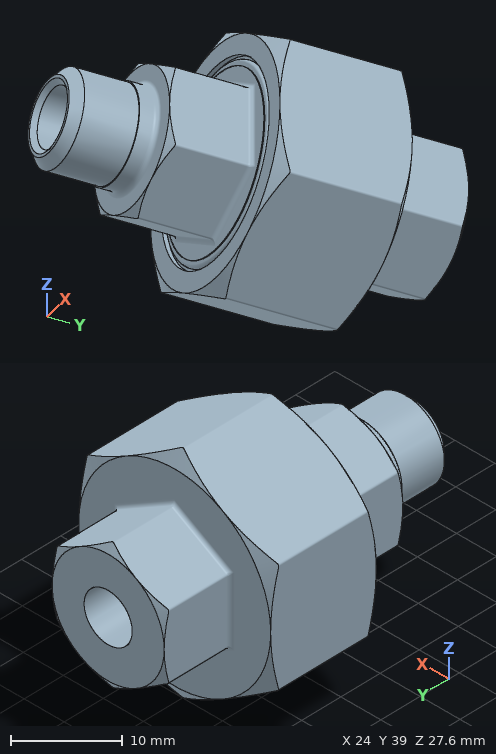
import cadquery as cq
import math

total_length = 39.0
section_length = 8.5
nut_front = 2 * section_length
nut_back = total_length - section_length

nut_flats = 24.0
body_flats = 14.0
hex_edge_radius = 0.3
hex_chamfer_angle = math.radians(30)
envelope_ratio = 1.5
root_fillet = 0.5

recess_diameter = 20.0
collar_diameter = 19.4
collar_edge_radius = 0.3
boss_diameter = 18.0
boss_height = 0.1
gap_depth = 0.5

pick_margin = 0.05

shoulder_diameter = 9.95
spigot_diameter = 9.7
shoulder_start = 6.55
tip_chamfer = 1.0
bore_diameter = 6.0
bore_chamfer = 0.5


def cylinder(diameter, start, end):
    """Cylinder on the Y axis between two Y positions."""
    return cq.Workplane("XZ", origin=(0, start, 0)).circle(diameter / 2).extrude(start - end)


def hex_prism(flats, start, end):
    """Hexagonal prism on the Y axis with corners at +Z and -Z."""
    corner_radius = flats / math.sqrt(3)
    corners = [
        (corner_radius * math.sin(math.radians(turn)), corner_radius * math.cos(math.radians(turn)))
        for turn in range(0, 360, 60)
    ]
    return cq.Workplane("XZ", origin=(0, start, 0)).polyline(corners).close().extrude(start - end)


def chamfer_envelope(flats, start, end, front, back):
    """Turned blank whose cones trim the hex corners on the chosen ends."""
    face_radius = flats / 2
    outer_radius = envelope_ratio * face_radius
    cone_length = (outer_radius - face_radius) * math.tan(hex_chamfer_angle)
    points = [(0, start)]
    if front:
        points += [(face_radius, start), (outer_radius, start + cone_length)]
    else:
        points += [(outer_radius, start)]
    if back:
        points += [(outer_radius, end - cone_length), (face_radius, end)]
    else:
        points += [(outer_radius, end)]
    points += [(0, end)]
    return cq.Workplane("XY").polyline(points).close().revolve(360, (0, 0, 0), (0, 1, 0))


def union_nut():
    nut = hex_prism(nut_flats, nut_front, nut_back).edges("|Y").fillet(hex_edge_radius)
    nut = nut.intersect(chamfer_envelope(nut_flats, nut_front, nut_back, True, True))
    return nut.cut(cylinder(recess_diameter, nut_front, nut_front + gap_depth))


def edges_between(start, end):
    """Selector for edges whose centres lie between two Y positions."""
    low = min(start, end) - pick_margin
    high = max(start, end) + pick_margin
    return cq.selectors.BoxSelector((-nut_flats, low, -nut_flats), (nut_flats, high, nut_flats))


def flared_hex(root, free_end):
    """Body hex with rounded long edges and a mitred fillet at its root.

    A thin round pad carries the root fillet; it lies inside the part the hex is joined to.
    """
    inward = math.copysign(1, root - free_end)
    pad = cylinder(boss_diameter, root, root + inward * boss_height)
    blank = hex_prism(body_flats, free_end, root).union(pad)
    flare_start = root - inward * root_fillet
    blank = blank.edges(edges_between(root, root)).edges("%LINE").fillet(root_fillet)
    return blank.edges("|Y").edges(edges_between(free_end, flare_start)).fillet(hex_edge_radius)


def front_hex():
    hexagon = flared_hex(nut_front, section_length)
    pad_end = nut_front + boss_height
    return hexagon.intersect(chamfer_envelope(body_flats, section_length, pad_end, True, False))


def rear_hex():
    hexagon = flared_hex(nut_back, total_length)
    pad_end = nut_back - boss_height
    return hexagon.intersect(chamfer_envelope(body_flats, pad_end, total_length, False, True))


def collar():
    """Rounded collar standing in the nut recess behind the front hex."""
    front = nut_front + boss_height
    disc = cylinder(collar_diameter, front, nut_front + gap_depth)
    return disc.faces("<Y").edges().fillet(collar_edge_radius)


def spigot():
    """Plain cylindrical spigot with a chamfered tip, a slightly wider shoulder and a flared root."""
    shoulder_radius = shoulder_diameter / 2
    spigot_radius = spigot_diameter / 2
    flare_middle = root_fillet * (1 - math.sqrt(0.5))
    profile = (
        cq.Workplane("XY")
        .lineTo(spigot_radius - tip_chamfer, 0)
        .lineTo(spigot_radius, tip_chamfer)
        .lineTo(spigot_radius, shoulder_start)
        .lineTo(shoulder_radius, shoulder_start)
        .lineTo(shoulder_radius, section_length - root_fillet)
        .threePointArc(
            (shoulder_radius + flare_middle, section_length - flare_middle),
            (shoulder_radius + root_fillet, section_length),
        )
        .lineTo(0, section_length)
        .close()
    )
    return profile.revolve(360, (0, 0, 0), (0, 1, 0))


def bore():
    """Through bore with a countersunk mouth at the spigot tip."""
    mouth_radius = bore_diameter / 2 + bore_chamfer
    mouth = cq.Workplane("XY").polyline([(0, 0), (mouth_radius, 0), (0, mouth_radius)]).close()
    return cylinder(bore_diameter, 0, total_length).union(mouth.revolve(360, (0, 0, 0), (0, 1, 0)))


result = union_nut()
for section in (collar(), front_hex(), rear_hex(), spigot()):
    result = result.union(section)
result = result.cut(bore())